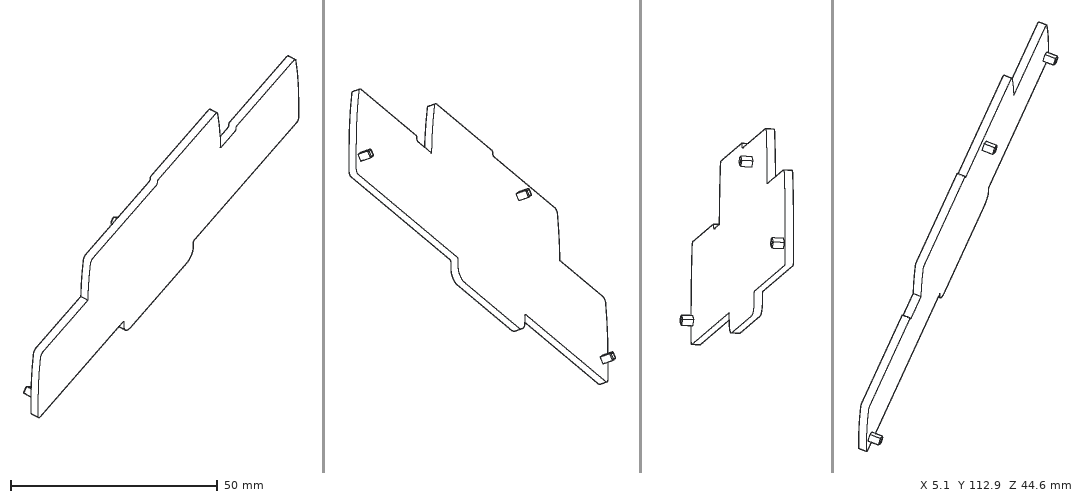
import cadquery as cq
import math

total_depth = 5.1
plate_thickness = 2.1
peg_length = total_depth - plate_thickness
peg_sides = 4
peg_diagonal = 2.6
peg_tip_chamfer = 0.25

total_width = 112.87
total_height = 44.6
foot_depth = 5.5
half_width = total_width / 2

tower_top = total_height - foot_depth
step_drop = 1.35
shoulder_top = tower_top - step_drop
wing_top = 23.8
raised_wing_top = wing_top + step_drop

raised_wing_end = 29.2
tower_base_left = 22.65
tower_base_right = -34.9
tower_step = -4.85
foot_left = 10.75
foot_right = -19.2

bow_radius = 105.0
wing_bow_start = 8.2
tower_bow_start = 21.5

corner_radius = 1.0
shoulder_radius = 1.4
step_radius = 0.5
foot_radius = 3.0

peg_centres = [(54.35, 5.7), (-54.2, 5.7), (-16.5, 32.4)]


def bow_inset(rise):
    """Inward shift of a bowed side at a height above its vertical tangent."""
    return bow_radius - math.sqrt(bow_radius**2 - rise**2)


def bowed_side(outline, widest, inward, bow_start, start_level, end_level):
    """Add the arc of a bowed side; inward is the Y direction (+1 or -1) towards the plate."""
    def point(level):
        return (widest + inward * bow_inset(level - bow_start), level)

    return outline.threePointArc(point((start_level + end_level) / 2), point(end_level))


tower_widest_left = tower_base_left + bow_inset(wing_top - tower_bow_start)
tower_widest_right = tower_base_right - bow_inset(wing_top - tower_bow_start)
tower_corner_left = tower_widest_left - bow_inset(tower_top - tower_bow_start)
tower_corner_right = tower_widest_right + bow_inset(shoulder_top - tower_bow_start)
wing_corner_left = half_width - bow_inset(raised_wing_top - wing_bow_start)
wing_corner_right = -half_width + bow_inset(wing_top - wing_bow_start)


def make_plate():
    """Sharp-cornered plate, outlined from the +Y side of the foot round to the -Y side."""
    outline = cq.Workplane("YZ").moveTo(foot_left, -foot_depth).lineTo(foot_left, 0)

    outline = outline.lineTo(half_width, 0).lineTo(half_width, wing_bow_start)
    outline = bowed_side(outline, half_width, -1, wing_bow_start, wing_bow_start, raised_wing_top)
    outline = outline.lineTo(raised_wing_end, raised_wing_top).lineTo(raised_wing_end, wing_top)

    outline = outline.lineTo(tower_base_left, wing_top)
    outline = bowed_side(outline, tower_widest_left, -1, tower_bow_start, wing_top, tower_top)
    outline = outline.lineTo(tower_step, tower_top).lineTo(tower_step, shoulder_top)
    outline = outline.lineTo(tower_corner_right, shoulder_top)
    outline = bowed_side(outline, tower_widest_right, 1, tower_bow_start, shoulder_top, wing_top)

    outline = outline.lineTo(wing_corner_right, wing_top)
    outline = bowed_side(outline, -half_width, 1, wing_bow_start, wing_top, wing_bow_start)
    outline = outline.lineTo(-half_width, 0).lineTo(foot_right, 0).lineTo(foot_right, -foot_depth)
    return outline.close().extrude(plate_thickness)


def round_corners(plate):
    """Fillet the outline corners, each given by its Y, Z and radius."""
    corners = [
        (foot_left, -foot_depth, foot_radius),
        (foot_right, -foot_depth, foot_radius),
        (foot_left, 0, step_radius),
        (foot_right, 0, step_radius),
        (half_width, 0, corner_radius),
        (-half_width, 0, corner_radius),
        (wing_corner_left, raised_wing_top, corner_radius),
        (wing_corner_right, wing_top, shoulder_radius),
        (tower_corner_left, tower_top, corner_radius),
        (tower_corner_right, shoulder_top, shoulder_radius),
        (raised_wing_end, raised_wing_top, step_radius),
        (raised_wing_end, wing_top, step_radius),
        (tower_step, tower_top, step_radius),
        (tower_step, shoulder_top, step_radius),
    ]
    for y, z, radius in corners:
        corner_edge = cq.selectors.NearestToPointSelector((plate_thickness / 2, y, z))
        plate = plate.edges("|X").edges(corner_edge).fillet(radius)
    return plate


def make_pegs():
    """Square pegs on the -X face, with a chamfered tip."""
    pegs = cq.Workplane("YZ").pushPoints(peg_centres).polygon(peg_sides, peg_diagonal)
    pegs = pegs.extrude(-peg_length)
    return pegs.faces("<X").chamfer(peg_tip_chamfer)


result = round_corners(make_plate()).union(make_pegs())